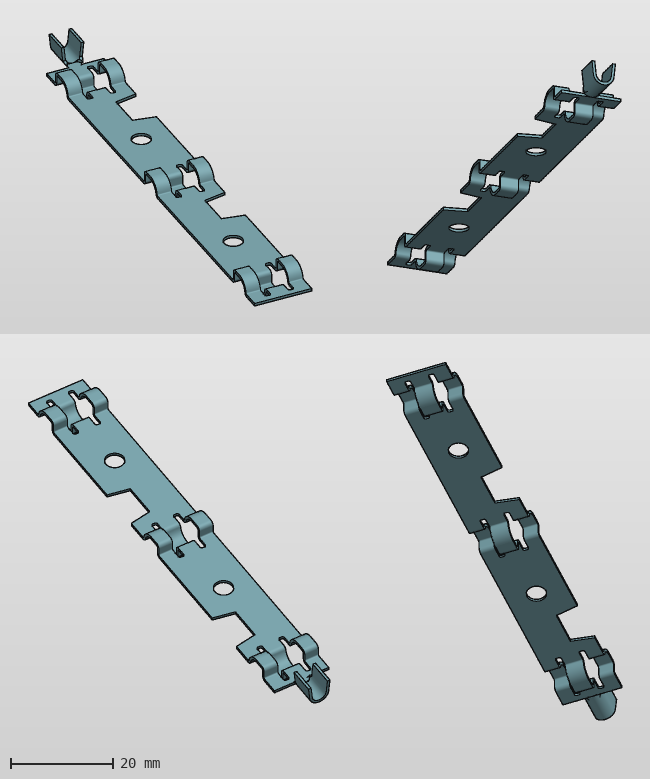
import cadquery as cq
import math

thickness = 0.6
half_thickness = thickness / 2
total_length = 99.3
strip_width = 12.4
strip_start = 6.7

loop_count = 3
loop_pitch = 39.6
first_loop_x = 13.3
loop_radius = 2.7
loop_flat_length = 2.5
bend_radius = 0.6
slit_length = 10.6
slit_width = 1.2
slit_corner_radius = 0.4
slit_offset = 2.5
loop_bend_margin = 0.2

bay_count = loop_count - 1
hole_diameter = 4.0
first_hole_x = 36.0
hole_pitch = 41.0
first_notch_x = 25.5
notch_depth = 4.8
notch_mouth = 9.1
notch_floor = 7.3

barrel_length = 5.5
barrel_top = 4.5
barrel_radius = 2.2
barrel_lean = 6
neck_overlap = 0.4
neck_height = 1.3
neck_floor_start = 2.2
neck_floor_end = 4.2


def block(x_start, x_end, y_start, y_end, z_start, z_end):
    size = (x_end - x_start, y_end - y_start, z_end - z_start)
    return cq.Workplane("XY").box(*size, centered=False).translate((x_start, y_start, z_start))


def flat_strip():
    half_width = strip_width / 2
    return block(strip_start, total_length, -half_width, half_width, -half_thickness, half_thickness)


def notch(center_x):
    edge = strip_width / 2
    return (
        cq.Workplane("XY")
        .moveTo(center_x - notch_mouth / 2, edge)
        .lineTo(center_x - notch_floor / 2, edge - notch_depth)
        .lineTo(center_x + notch_floor / 2, edge - notch_depth)
        .lineTo(center_x + notch_mouth / 2, edge)
        .close()
        .extrude(thickness, both=True)
    )


def hole(center_x):
    return cq.Workplane("XY").center(center_x, 0).circle(hole_diameter / 2).extrude(thickness, both=True)


def slits(center_x):
    return (
        cq.Workplane("XY")
        .pushPoints([(center_x, -slit_offset), (center_x, slit_offset)])
        .rect(slit_length, slit_width)
        .extrude(thickness, both=True)
        .edges("|Z")
        .fillet(slit_corner_radius)
    )


wall_x = -loop_flat_length
rise_x = wall_x - bend_radius
landing_x = math.sqrt((loop_radius + bend_radius) ** 2 - bend_radius ** 2)
landing_angle = math.asin(bend_radius / (loop_radius + bend_radius))


def polar(center, radius, angle):
    return (center[0] + radius * math.cos(angle), center[1] + radius * math.sin(angle))


def hump(offset, y_start, y_end):
    """Solid below one skin of an upward strand; offset is that skin's distance from mid-sheet."""
    foot_radius = bend_radius - offset
    shoulder_radius = bend_radius + offset
    round_radius = loop_radius + offset
    foot = (rise_x, bend_radius)
    shoulder = (wall_x + bend_radius, loop_radius - bend_radius)
    landing = (landing_x, bend_radius)
    landing_start = math.pi + landing_angle
    landing_end = 1.5 * math.pi
    start_x = rise_x - loop_bend_margin
    end_x = landing_x + loop_bend_margin
    base = -thickness
    return (
        cq.Workplane("XZ", origin=(0, y_end, 0))
        .moveTo(start_x, base)
        .lineTo(start_x, offset)
        .lineTo(rise_x, offset)
        .threePointArc(polar(foot, foot_radius, -math.pi / 4), polar(foot, foot_radius, 0))
        .lineTo(wall_x - offset, shoulder[1])
        .threePointArc(
            polar(shoulder, shoulder_radius, 0.75 * math.pi),
            polar(shoulder, shoulder_radius, 0.5 * math.pi),
        )
        .lineTo(0, round_radius)
        .threePointArc(
            polar((0, 0), round_radius, math.pi / 4),
            polar((0, 0), round_radius, landing_angle),
        )
        .threePointArc(
            polar(landing, foot_radius, (landing_start + landing_end) / 2),
            polar(landing, foot_radius, landing_end),
        )
        .lineTo(end_x, offset)
        .lineTo(end_x, base)
        .close()
        .extrude(y_end - y_start)
    )


def strand(y_start, y_end):
    upper_skin = hump(half_thickness, y_start, y_end)
    return upper_skin.cut(hump(-half_thickness, y_start, y_end))


def loop():
    inner_edge = slit_offset - slit_width / 2
    outer_edge = slit_offset + slit_width / 2
    front_strand = strand(-strip_width / 2, -outer_edge)
    back_strand = strand(outer_edge, strip_width / 2)
    middle_strand = strand(-inner_edge, inner_edge).mirror("XY")
    return [front_strand, back_strand, middle_strand]


def loop_window(center_x):
    """Stretch of flat sheet replaced by the bent strands."""
    half_width = strip_width / 2
    return block(
        center_x + rise_x, center_x + landing_x, -half_width, half_width, -thickness, thickness
    )


def trough(radius, center_z, length):
    """Solid U with its walls leaning outward, tangent to the round bottom."""
    lean = math.radians(barrel_lean)
    tangent_y = radius * math.cos(lean)
    tangent_z = center_z - radius * math.sin(lean)
    top_y = tangent_y + (barrel_top - tangent_z) * math.tan(lean)
    return (
        cq.Workplane("YZ")
        .moveTo(-top_y, barrel_top)
        .lineTo(-tangent_y, tangent_z)
        .threePointArc((0, center_z - radius), (tangent_y, tangent_z))
        .lineTo(top_y, barrel_top)
        .close()
        .extrude(length)
    )


def crimp_barrel():
    center_z = barrel_radius - half_thickness
    length = strip_start + neck_overlap
    outside = trough(barrel_radius, center_z, length)
    inside = trough(barrel_radius - thickness, center_z, length)
    above_neck = (
        cq.Workplane("XZ")
        .moveTo(barrel_length, barrel_top)
        .lineTo(barrel_length, neck_height)
        .lineTo(length, half_thickness)
        .lineTo(length, barrel_top)
        .close()
        .extrude(strip_width, both=True)
    )
    above_floor = (
        cq.Workplane("XY", origin=(0, 0, half_thickness))
        .moveTo(barrel_length, -neck_floor_start / 2)
        .lineTo(length, -neck_floor_end / 2)
        .lineTo(length, neck_floor_end / 2)
        .lineTo(barrel_length, neck_floor_start / 2)
        .close()
        .extrude(barrel_top)
    )
    return outside.cut(inside).cut(above_neck).cut(above_floor)


result = flat_strip()
for bay in range(bay_count):
    result = result.cut(hole(first_hole_x + bay * hole_pitch))
    result = result.cut(notch(first_notch_x + bay * loop_pitch))

for index in range(loop_count):
    loop_x = first_loop_x + index * loop_pitch
    result = result.cut(slits(loop_x)).cut(loop_window(loop_x))
    for bent_strand in loop():
        result = result.union(bent_strand.translate((loop_x, 0, 0)))

result = result.union(crimp_barrel())